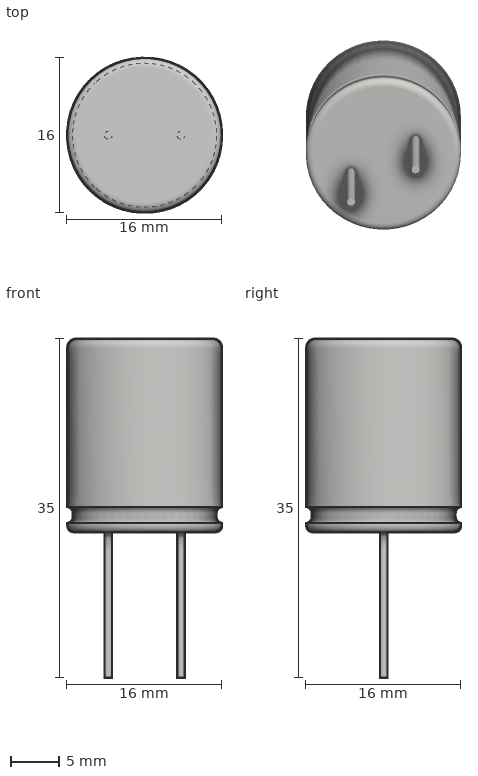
import cadquery as cq

total_height = 35.0
can_diameter = 16.0
can_height = 20.0
top_round = 0.98
bottom_round = 0.75
lead_diameter = 0.8
lead_spacing = 7.5

groove_depth = 0.55
groove_floor_height = 0.52
groove_height = groove_floor_height + 2 * groove_depth
groove_center_above_base = 1.8

lead_length = total_height - can_height
can_radius = can_diameter / 2
lead_embed = 0.35


def make_can():
    can = cq.Workplane("XY").workplane(offset=lead_length).circle(can_radius).extrude(can_height)
    can = can.faces(">Z").edges().fillet(top_round)
    return can.faces("<Z").edges().fillet(bottom_round)


def make_groove_cutter():
    """Sweep a rounded slot, centred on the can wall, around the can axis."""
    return (
        cq.Workplane("XZ")
        .center(can_radius, lead_length + groove_center_above_base)
        .slot2D(groove_height, 2 * groove_depth, 90)
        .revolve(360, (-can_radius, 0), (-can_radius, 1))
    )


def make_leads():
    return (
        cq.Workplane("XY")
        .pushPoints([(-lead_spacing / 2, 0), (lead_spacing / 2, 0)])
        .circle(lead_diameter / 2)
        .extrude(lead_length + lead_embed)
    )


result = make_can().cut(make_groove_cutter()).union(make_leads())